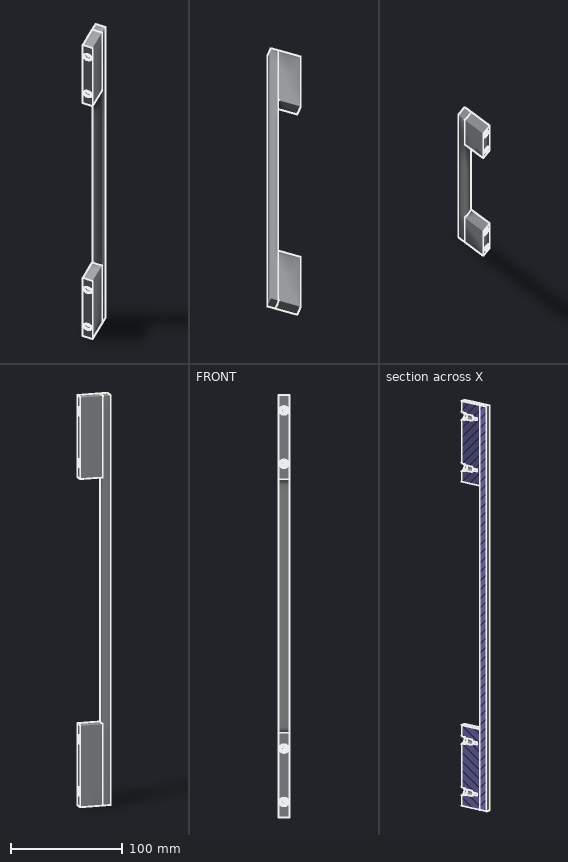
import cadquery as cq
import math

width = 10.0
length = 380.0
total_depth = 28.89
half_width = width / 2
half_length = length / 2
back_y = total_depth / 2
front_y = -back_y

bar_thickness = 8.1
bulge_radius = 20.0
bulge_height = bulge_radius - math.sqrt(bulge_radius**2 - half_width**2)
bulge_crown_y = back_y - bar_thickness
bulge_side_y = bulge_crown_y + bulge_height

pad_length = 76.0
pad_start_heights = (-half_length, half_length - pad_length)

edge_radius = 0.5

hole_inset = 14.0
mouth_radius = 4.0
mouth_chamfer = 0.8
head_radius = mouth_radius - mouth_chamfer
head_depth = 4.0
shank_radius = 2.4
shank_depth = 12.0
pilot_radius = 0.9
taper_end_depth = shank_depth + 1.0
pilot_depth = 18.0


def curved_block(flat_y, bottom_z, height):
    """Block between the flat face at flat_y and the curved joint face of bar and pads."""
    return (
        cq.Workplane("XY", origin=(0, 0, bottom_z))
        .moveTo(-half_width, flat_y)
        .lineTo(-half_width, bulge_side_y)
        .threePointArc((0, bulge_crown_y), (half_width, bulge_side_y))
        .lineTo(half_width, flat_y)
        .close()
        .extrude(height)
    )


def make_bar():
    """Full-length grip bar, rounded along its sides, its ends and its back."""
    bar = curved_block(back_y, -half_length, length)
    return bar.edges("|Z or |Y or >Y").fillet(edge_radius)


def make_hole_cutter(z):
    """Revolved screw hole: chamfered mouth, head bore, shank bore, taper and pilot."""
    return (
        cq.Workplane("XY")
        .moveTo(0, 0)
        .lineTo(mouth_radius, 0)
        .lineTo(head_radius, mouth_chamfer)
        .lineTo(head_radius, head_depth)
        .lineTo(shank_radius, head_depth)
        .lineTo(shank_radius, shank_depth)
        .lineTo(pilot_radius, taper_end_depth)
        .lineTo(pilot_radius, pilot_depth)
        .lineTo(0, pilot_depth)
        .close()
        .revolve(360, (0, 0, 0), (0, 1, 0))
        .translate((0, front_y, z))
    )


def make_pad(bottom_z):
    """Mounting pad with a concave seat for the bar and two screw holes."""
    pad = curved_block(front_y, bottom_z, pad_length)
    end_edges_and_seat_sides = "|Y or (|Z and >Y)"
    pad = pad.edges(end_edges_and_seat_sides).fillet(edge_radius)
    for z in (bottom_z + hole_inset, bottom_z + pad_length - hole_inset):
        pad = pad.cut(make_hole_cutter(z))
    return pad


bar = make_bar()
pads = [make_pad(bottom_z) for bottom_z in pad_start_heights]

result = cq.Compound.makeCompound([bar.solids().val(), *[pad.solids().val() for pad in pads]])